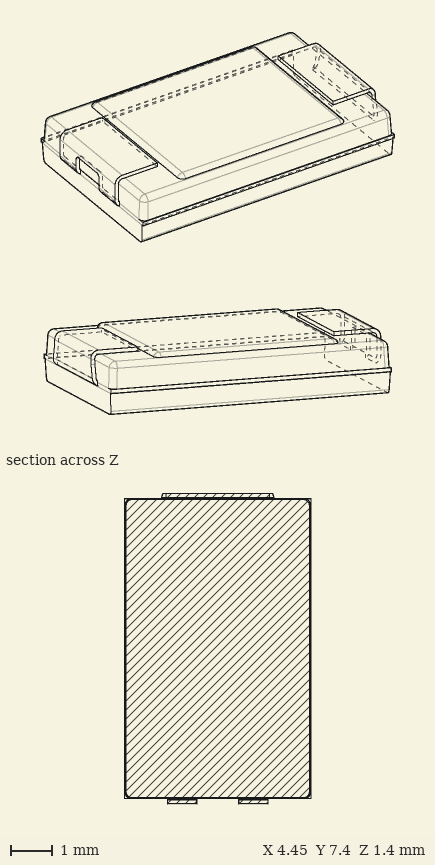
import cadquery as cq
import math

total_height = 1.4
flange_width = 4.45
flange_length = 7.15
flange_bottom = 0.54
flange_thickness = 0.1
flange_top = flange_bottom + flange_thickness

base_width = 4.35
base_draft = 3.0
base_edge_radius = 0.1

cover_side_inset = 0.02
cover_top = 1.28
cover_draft = 3.0
cover_radius = 0.15

pad_width = 4.0
pad_length = 4.72
pad_top = 1.38
pad_radius = 0.15
pad_bottom = 1.15

terminal_width = 2.4
terminal_thickness = 0.1
terminal_reach = 3.7
terminal_bend = 0.2
terminal_inner_end = 2.5
terminal_foot_end = 3.3

window_width = 1.0
window_top = 1.11
window_radius = 0.1

flare_top = 1.12
flare_foot_width = 2.69
flare_blend_radius = 0.45


def make_base():
    """Lower body, narrowing downwards, with its long bottom edges rounded."""
    shrink = flange_bottom * math.tan(math.radians(base_draft))
    base = (
        cq.Workplane("XY")
        .rect(base_width - 2 * shrink, flange_length - 2 * shrink)
        .workplane(offset=flange_bottom)
        .rect(base_width, flange_length)
        .loft(ruled=True)
    )
    return base.faces("<Z").edges("|Y").fillet(base_edge_radius)


def make_flange():
    """Thin parting-line rim around the body."""
    return (
        cq.Workplane("XY", origin=(0, 0, flange_bottom))
        .rect(flange_width, flange_length)
        .extrude(flange_thickness)
    )


def make_cover():
    """Upper body, narrowing upwards, with rounded corners and top rim."""
    cover = (
        cq.Workplane("XY", origin=(0, 0, flange_top))
        .rect(flange_width - 2 * cover_side_inset, flange_length)
        .extrude(cover_top - flange_top, taper=cover_draft)
    )
    cover = cover.edges("not(|X or |Y)").fillet(cover_radius)
    return cover.faces(">Z").edges().fillet(cover_radius)


def make_pad():
    """Raised pad with rounded corners and top rim."""
    pad = (
        cq.Workplane("XY", origin=(0, 0, pad_bottom))
        .rect(pad_width, pad_length)
        .extrude(pad_top - pad_bottom)
    )
    return pad.edges("|Z or >Z").fillet(pad_radius)


def make_strip(width):
    """C-shaped strip on the -Y end: top strip, upright leg and foot in the flange."""
    inner_bend = terminal_bend - terminal_thickness
    outer_y = -terminal_reach
    inner_y = outer_y + terminal_thickness
    bend_y = outer_y + terminal_bend
    upper_bend_z = total_height - terminal_bend
    lower_bend_z = flange_bottom + terminal_bend
    slant = math.sqrt(0.5)
    return (
        cq.Workplane("YZ", origin=(-width / 2, 0, 0))
        .moveTo(-terminal_inner_end, total_height)
        .lineTo(bend_y, total_height)
        .threePointArc(
            (bend_y - terminal_bend * slant, upper_bend_z + terminal_bend * slant),
            (outer_y, upper_bend_z),
        )
        .lineTo(outer_y, lower_bend_z)
        .threePointArc(
            (bend_y - terminal_bend * slant, lower_bend_z - terminal_bend * slant),
            (bend_y, flange_bottom),
        )
        .lineTo(-terminal_foot_end, flange_bottom)
        .lineTo(-terminal_foot_end, flange_bottom + terminal_thickness)
        .lineTo(bend_y, flange_bottom + terminal_thickness)
        .threePointArc(
            (bend_y - inner_bend * slant, lower_bend_z - inner_bend * slant),
            (inner_y, lower_bend_z),
        )
        .lineTo(inner_y, upper_bend_z)
        .threePointArc(
            (bend_y - inner_bend * slant, upper_bend_z + inner_bend * slant),
            (bend_y, total_height - terminal_thickness),
        )
        .lineTo(-terminal_inner_end, total_height - terminal_thickness)
        .close()
        .extrude(width)
    )


def make_window_terminal():
    """-Y terminal, with a round-cornered window cut up from the foot of its leg."""
    depth = terminal_reach - flange_length / 2
    window = (
        cq.Workplane("XY", origin=(0, -terminal_reach, flange_bottom))
        .box(window_width, depth, window_top - flange_bottom, centered=(True, False, False))
        .edges("|Y and >Z")
        .fillet(window_radius)
    )
    return make_strip(terminal_width).cut(window)


def make_flared_terminal():
    """+Y terminal, trimmed to an outline that flares out smoothly below the bend."""
    top_half = terminal_width / 2
    foot_half = flare_foot_width / 2
    outline = (
        cq.Workplane("XZ")
        .polyline(
            [
                (-top_half, total_height),
                (top_half, total_height),
                (top_half, flare_top),
                (foot_half, flange_bottom),
                (-foot_half, flange_bottom),
                (-top_half, flare_top),
            ]
        )
        .close()
        .extrude(terminal_reach)
    )
    blend_corners = cq.selectors.BoxSelector(
        (-flange_width, -terminal_reach, flange_top),
        (flange_width, 0, total_height - terminal_thickness),
    )
    outline = outline.edges("|Y").edges(blend_corners).fillet(flare_blend_radius)
    return make_strip(flare_foot_width).intersect(outline).mirror("XZ")


result = (
    make_base()
    .union(make_flange())
    .union(make_cover())
    .union(make_pad())
    .union(make_window_terminal())
    .union(make_flared_terminal())
)